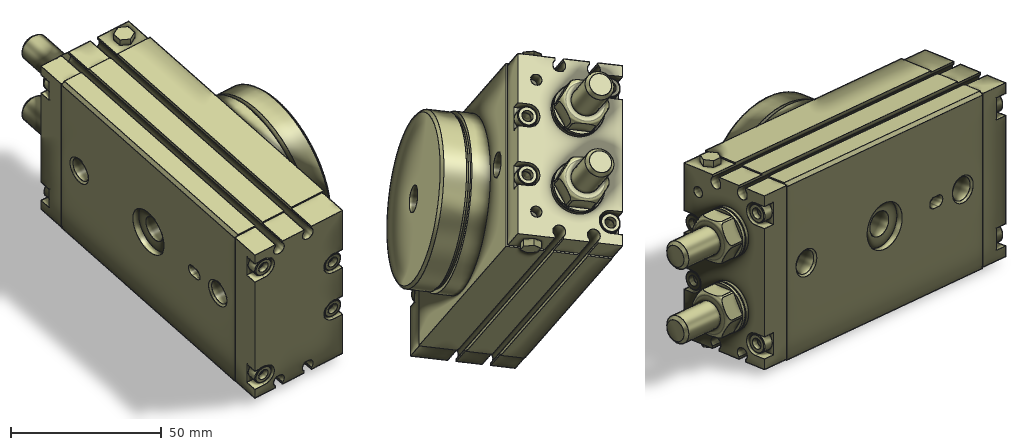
import cadquery as cq
import math


housing_length = 95.0
housing_front_y = 0.2
housing_back_y = 37.0
housing_height = 65.0
housing_chamfer = 1.1

boss_diameter = 60.9
boss_height = 6.5
table_diameter = 60.0
table_total_height = 10.6
table_neck_diameter = 57.9
table_neck_height = 0.7
table_chamfer = 1.0

bore_diameter = 9.2
pilot_diameter = 17.0
pilot_depth = 2.5
mount_hole_diameter = 8.6
mount_hole_chamfer = 0.7
mount_hole_x = 37.9
locating_slot_x = 25.0
locating_slot_length = 6.3
locating_slot_width = 4.1
locating_slot_depth = 4.3

groove_ys = (10.0, 22.0)
groove_neck_width = 3.0
groove_round_diameter = 4.5
groove_round_depth = 3.0

end_thickness = 11.0
end_depth = 36.5
end_height = 64.0
port_y = 30.0
port_z = 23.5
port_diameter = 3.9
port_depth = 5.0

front_screw_y = 4.0
front_screw_z = 24.0
rear_screw_y = 32.9
rear_screw_z = 10.5
recess_width = 8.2
recess_depth = 4.5
screw_head_diameter = 6.9
screw_head_chamfer = 0.3
screw_head_height = 3.9
socket_diameter = 3.9
socket_depth = 2.3
socket_tip_angle = 120.0

plug_x = -52.5
plug_across_flats = 6.1
height_over_plugs = 69.0
plug_height = (height_over_plugs - end_height) / 2

bolt_length = 26.0
bolt_diameter = 10.0
bolt_chamfer = 1.1
bolt_y = 16.0
bolt_z = 13.7
nut_across_flats = 15.5
nut_corner_diameter = 17.5
nut_corner_radius = 1.9
nut_height = 6.7
washer_diameter = 17.7
washer_thickness = 1.3
washer_gap = 0.3
washer_gap_diameter = 16.9

HEX_CORNER_RATIO = 1 / math.cos(math.radians(30))
SIDES = (-1, 1)
housing_half = housing_length / 2
end_x = housing_half + end_thickness


def cylinder_x(x, y, z, diameter, length):
    """Cylinder that starts at x and runs along +X."""
    return cq.Workplane("YZ", origin=(x, y, z)).circle(diameter / 2).extrude(length)


def cylinder_y(x, y, z, diameter, length):
    """Cylinder that starts at y and runs along +Y."""
    return cq.Workplane("XZ", origin=(x, y, z)).circle(diameter / 2).extrude(-length)


def block(x_start, y_start, length, depth, height):
    """Box centred on Z = 0 that starts at x_start and y_start."""
    return (
        cq.Workplane("XY")
        .box(length, depth, height, centered=(False, False, True))
        .translate((x_start, y_start, 0))
    )


def sensor_grooves(x_start, length):
    """Keyhole-shaped grooves, two in the top and two in the bottom."""
    grooves = cq.Workplane("XY")
    for side in SIDES:
        round_z = side * (housing_height / 2 - groove_round_depth)
        for y in groove_ys:
            neck = (
                cq.Workplane("XY")
                .box(length, groove_neck_width, groove_round_depth, centered=(False, True, True))
                .translate((x_start, y, round_z + side * groove_round_depth / 2))
            )
            grooves = grooves.add(neck).add(cylinder_x(x_start, y, round_z, groove_round_diameter, length))
    return grooves.combine()


def screw_recess(y, z, opening):
    """U-shaped recess in the left end, with a solid screw head standing in it."""
    pocket = cylinder_x(-end_x, y, z, recess_width, recess_depth)
    channel = (
        cq.Workplane("XY")
        .box(recess_depth, recess_width, recess_width, centered=(False, True, True))
        .translate((-end_x, y + opening * recess_width / 2, z))
    )
    head_x = -end_x + recess_depth - screw_head_height
    head = cylinder_x(head_x, y, z, screw_head_diameter, screw_head_height)
    head = head.faces("<X").chamfer(screw_head_chamfer)

    tip_height = socket_diameter / 2 / math.tan(math.radians(socket_tip_angle / 2))
    socket = (
        cq.Workplane("XY", origin=(head_x, y, z))
        .polyline([
            (0, 0),
            (0, socket_diameter / 2),
            (socket_depth, socket_diameter / 2),
            (socket_depth + tip_height, 0),
        ])
        .close()
        .revolve(360, (0, 0, 0), (1, 0, 0))
    )
    return pocket.union(channel).cut(head.cut(socket))


def left_end():
    """Left end section, with recessed screws; its mirror image forms the right end."""
    end = block(-end_x, 0, end_thickness, end_depth, end_height)
    for side in SIDES:
        end = end.cut(screw_recess(front_screw_y, side * front_screw_z, -1))
        end = end.cut(screw_recess(rear_screw_y, side * rear_screw_z, 1))
    return end


def mounting_hole(x):
    """Through hole with a countersunk mouth in the front face."""
    mouth_diameter = mount_hole_diameter + 2 * mount_hole_chamfer
    hole = cylinder_y(x, 0, 0, mount_hole_diameter, housing_back_y)
    mouth = (
        cq.Workplane("XZ", origin=(x, housing_front_y, 0))
        .circle(mouth_diameter / 2)
        .workplane(offset=-mount_hole_chamfer)
        .circle(mount_hole_diameter / 2)
        .loft()
    )
    return hole.union(mouth)


def locating_slot():
    """Blind slot with round ends in the front face."""
    return (
        cq.Workplane("XZ", origin=(locating_slot_x, housing_front_y, 0))
        .slot2D(locating_slot_length, locating_slot_width)
        .extrude(-locating_slot_depth)
    )


def make_housing():
    """Housing with its slightly smaller end sections and the bearing boss."""
    depth = housing_back_y - housing_front_y
    body = block(-housing_half, housing_front_y, housing_length, depth, housing_height)
    body = body.edges("|X and <Y and >Z").chamfer(housing_chamfer)
    body = body.union(cylinder_y(0, housing_back_y, 0, boss_diameter, boss_height))
    end = left_end()
    body = body.union(end).union(end.mirror("YZ"))
    body = body.cut(sensor_grooves(-end_x, 2 * end_x))

    body = body.cut(cylinder_y(0, 0, 0, bore_diameter, housing_back_y + boss_height))
    body = body.cut(cylinder_y(0, housing_front_y, 0, pilot_diameter, pilot_depth))

    for side in SIDES:
        body = body.cut(mounting_hole(side * mount_hole_x))
        body = body.cut(cylinder_x(-end_x, port_y, side * port_z, port_diameter, port_depth))
    return body.cut(locating_slot())


def make_table():
    """Turntable disc on a narrower neck, with the central bore passing through."""
    base_y = housing_back_y + boss_height
    disc_y = base_y + table_neck_height
    disc_height = table_total_height - table_neck_height
    disc = cylinder_y(0, disc_y, 0, table_diameter, disc_height).faces("<Y or >Y").chamfer(table_chamfer)
    neck = cylinder_y(0, base_y, 0, table_neck_diameter, table_neck_height)
    return neck.union(disc).cut(cylinder_y(0, base_y, 0, bore_diameter, table_total_height))


def make_plug(side):
    """Hexagonal plug standing on the top (+1) or bottom (-1) of the left end."""
    return (
        cq.Workplane("XY", origin=(plug_x, port_y, side * end_height / 2))
        .polygon(6, plug_across_flats * HEX_CORNER_RATIO)
        .extrude(side * plug_height)
    )


def make_stop_bolt(side):
    """Stop bolt that stands on the left end face."""
    bolt = cylinder_x(-end_x - bolt_length, bolt_y, side * bolt_z, bolt_diameter, bolt_length)
    return bolt.faces("<X").chamfer(bolt_chamfer)


def make_lock_nut(side):
    """Hexagonal lock nut with a double washer flange, bored to fit the stop bolt."""
    z = side * bolt_z
    flange_height = 2 * washer_thickness + washer_gap
    nut_x = -end_x - flange_height - nut_height

    hexagon = (
        cq.Workplane("YZ", origin=(nut_x, bolt_y, z))
        .polygon(6, nut_across_flats * HEX_CORNER_RATIO)
        .extrude(nut_height)
    )
    envelope = cylinder_x(nut_x, bolt_y, z, nut_corner_diameter, nut_height)
    envelope = envelope.faces("<X").edges().fillet(nut_corner_radius)
    nut = hexagon.intersect(envelope)

    nut = nut.union(cylinder_x(-end_x - flange_height, bolt_y, z, washer_gap_diameter, flange_height))
    for offset in (washer_thickness, flange_height):
        nut = nut.union(cylinder_x(-end_x - offset, bolt_y, z, washer_diameter, washer_thickness))
    return nut.cut(cylinder_x(nut_x, bolt_y, z, bolt_diameter, nut_height + flange_height))


housing = make_housing()
table = make_table()
plugs = [make_plug(side).val() for side in SIDES]
stop_bolts = [make_stop_bolt(side).val() for side in SIDES]
lock_nuts = [make_lock_nut(side).val() for side in SIDES]

result = cq.Compound.makeCompound([housing.val(), table.val(), *plugs, *stop_bolts, *lock_nuts])